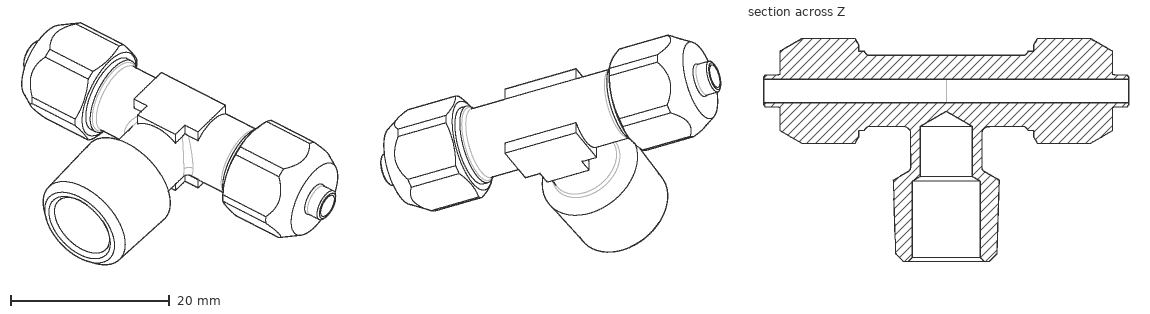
import cadquery as cq
import math


pipe_radius = 4.5
root_fillet = 0.5
crotch_fillet = 0.85
cone_rise = math.tan(math.radians(30))

block_height = 10.0
block_half_length = block_height / 2
block_inner = 2.95

collar_radius = 5.0
collar_start = 10.3

nut_start = 11.0
nut_length = 10.0
nut_end = nut_start + nut_length
nut_flats = 12.0
nut_corner_radius = 6.62
nut_back_radius = 5.8
nut_face_radius = 5.0

tip_end = 23.0
tip_radius = 2.02
tip_flare_radius = 2.1
tip_flare_length = 0.35
tip_chamfer_length = 0.2
tip_chamfer_depth = 0.28
run_bore_radius = 1.45

branch_end = 21.5
shoulder = 11.22
thread_diameter = 13.4
thread_radius = thread_diameter / 2
thread_taper = 1 / 32
thread_chamfer = 0.95

branch_bore_radius = 4.3
branch_bore_depth = 10.1
branch_mouth_chamfer = 0.5
drill_radius = 3.25
drill_depth = 17.0

smallest_circles = cq.selectors.RadiusNthSelector(0)


def revolve_along_x(points):
    """Revolve a closed (x, radius) outline about the X axis."""
    return cq.Workplane("XY").polyline(points).close().revolve(360, (0, 0, 0), (1, 0, 0))


def revolve_along_branch(points):
    """Revolve a closed (radius, distance toward -Y) outline about the Y axis."""
    outline = [(radius, -distance) for radius, distance in points]
    return cq.Workplane("XY").polyline(outline).close().revolve(360, (0, 0, 0), (0, 1, 0))


def make_run():
    """Pipe along X with a coned collar at each end."""
    cone_end = collar_start - (collar_radius - pipe_radius) * cone_rise
    run = revolve_along_x([
        (-nut_start, 0),
        (-nut_start, collar_radius),
        (-collar_start, collar_radius),
        (-cone_end, pipe_radius),
        (cone_end, pipe_radius),
        (collar_start, collar_radius),
        (nut_start, collar_radius),
        (nut_start, 0),
    ])
    return run.edges(smallest_circles).fillet(root_fillet)


def make_branch():
    """Pipe toward -Y that widens into the tapered thread boss."""
    cone_start = shoulder - (thread_radius - pipe_radius) * cone_rise
    chamfer_start = branch_end - thread_chamfer
    thread_end_radius = thread_radius - (chamfer_start - shoulder) * thread_taper
    branch = revolve_along_branch([
        (0, 0),
        (pipe_radius, 0),
        (pipe_radius, cone_start),
        (thread_radius, shoulder),
        (thread_end_radius, chamfer_start),
        (thread_end_radius - thread_chamfer, branch_end),
        (0, branch_end),
    ])
    return branch.edges(smallest_circles).edges("<Y").fillet(root_fillet)


def make_block():
    """Cross-shaped block whose flat faces stand proud of the pipes."""
    bar = cq.Workplane("XY").box(2 * block_half_length, 2 * block_inner, block_height)
    stem = (
        cq.Workplane("XY")
        .box(2 * block_inner, block_half_length, block_height)
        .translate((0, -block_half_length / 2, 0))
    )
    return bar.union(stem)


def make_nut():
    """Hex nut on +X, its corners and both ends turned down, one flat facing +Z."""
    across_corners = nut_flats / math.cos(math.pi / 6)
    hexagon = (
        cq.Workplane("YZ", origin=(nut_start, 0, 0))
        .polygon(6, across_corners)
        .extrude(nut_length)
    )
    back_cone = (nut_corner_radius - nut_back_radius) * cone_rise
    front_cone = (nut_corner_radius - nut_face_radius) / cone_rise
    turned = revolve_along_x([
        (nut_start, 0),
        (nut_start, nut_back_radius),
        (nut_start + back_cone, nut_corner_radius),
        (nut_end - front_cone, nut_corner_radius),
        (nut_end, nut_face_radius),
        (nut_end, 0),
    ])
    return hexagon.intersect(turned)


def make_tip():
    """Sleeve tip on +X that flares slightly where it enters the nut."""
    flare_end = nut_end + tip_flare_length
    return revolve_along_x([
        (nut_start, 0),
        (nut_start, tip_flare_radius),
        (nut_end, tip_flare_radius),
        (flare_end, tip_radius),
        (tip_end - tip_chamfer_length, tip_radius),
        (tip_end, tip_radius - tip_chamfer_depth),
        (tip_end, 0),
    ])


def make_run_bore():
    """Straight through bore along X."""
    return cq.Workplane("YZ").circle(run_bore_radius).extrude(tip_end, both=True)


def make_branch_bore():
    """Wide bore, coned down to a narrower drilled hole with a pointed end."""
    bore_end = branch_end - branch_bore_depth
    step_end = bore_end - (branch_bore_radius - drill_radius) * cone_rise
    drill_end = branch_end - drill_depth
    return revolve_along_branch([
        (0, branch_end),
        (branch_bore_radius + branch_mouth_chamfer, branch_end),
        (branch_bore_radius, branch_end - branch_mouth_chamfer),
        (branch_bore_radius, bore_end),
        (drill_radius, step_end),
        (drill_radius, drill_end),
        (0, drill_end - drill_radius * cone_rise),
    ])


body = make_run().union(make_branch()).union(make_block())
body = body.edges("%ELLIPSE").fillet(crotch_fillet)

end_fitting = make_nut().union(make_tip())
result = body.union(end_fitting).union(end_fitting.mirror("YZ"))
result = result.cut(make_run_bore()).cut(make_branch_bore())